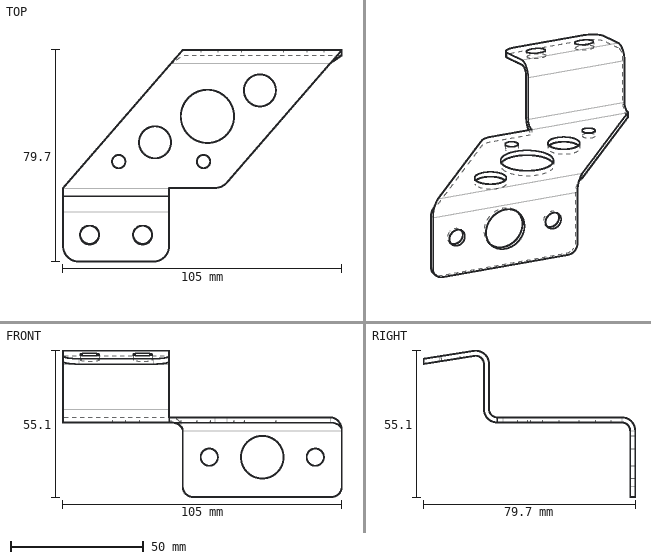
import cadquery as cq
import math

length = 105.0
depth = 79.7
height = 55.1
thickness = 2.0
inner_radius = 3.0
outer_radius = inner_radius + thickness

plate_front = -52.0
plate_rear = -outer_radius
plate_corner_radius = 6.0
plate_holes = [
    (21.0, -42.0, 4.9),
    (52.9, -42.0, 4.9),
    (34.6, -34.8, 12.0),
    (54.4, -25.0, 20.0),
    (74.1, -15.2, 12.0),
]

flange_height = 30.0
flange_width = 60.0
flange_left = length - flange_width
flange_corner_radius = 4.0
flange_hole_diameter = 6.4
flange_center_hole_diameter = 16.0
flange_hole_pitch = 20.0
flange_hole_z = -15.0

bracket_width = 40.0
arm_slope = 9.0
arm_corner_radius = 6.0
arm_hole_diameter = 7.1
arm_hole_pitch = 20.0
arm_hole_y = -69.7

side_run = flange_left / -plate_front


def slanted_side_x(y, offset=0):
    """x of the left slanted side at y; offset moves it along x to the right side."""
    return flange_left + side_run * y + offset


def make_plate():
    outline = [
        (slanted_side_x(plate_front), plate_front),
        (slanted_side_x(plate_front, flange_width), plate_front),
        (slanted_side_x(plate_rear, flange_width), plate_rear),
        (slanted_side_x(plate_rear), plate_rear),
    ]
    plate = cq.Workplane("XY").polyline(outline).close().extrude(-thickness)
    plate = plate.edges("|Z").edges("<Y").edges(">X").fillet(plate_corner_radius)
    for x, y, diameter in plate_holes:
        hole = cq.Workplane("XY").center(x, y).circle(diameter / 2).extrude(-thickness)
        plate = plate.cut(hole)
    return plate


def bend_edge(radius, offset):
    """Side edge of the rear bend: the slanted side continued, with the cut square to the sheet."""
    steps = 8
    points = []
    for step in range(steps + 1):
        angle = math.pi / 2 * step / steps
        x = slanted_side_x(outer_radius * (math.cos(angle) - 1), offset)
        y = radius * math.cos(angle) - outer_radius
        z = radius * math.sin(angle) - outer_radius
        points.append(cq.Vector(x, y, z))
    return cq.Edge.makeSpline(points)


def make_rear_bend():
    outer_left = bend_edge(outer_radius, 0)
    outer_right = bend_edge(outer_radius, flange_width)
    inner_left = bend_edge(inner_radius, 0)
    inner_right = bend_edge(inner_radius, flange_width)
    sides = [
        (outer_left, outer_right),
        (outer_right, inner_right),
        (inner_right, inner_left),
        (inner_left, outer_left),
    ]
    faces = [cq.Face.makeRuledSurface(first, second) for first, second in sides]
    for position in (0, 1):
        corners = [first.positionAt(position) for first, second in sides]
        faces.append(cq.Face.makeFromWires(cq.Wire.makePolygon(corners, close=True)))
    return cq.Workplane(cq.Solid.makeSolid(cq.Shell.makeShell(faces)))


def make_flange():
    flange = (
        cq.Workplane("XY")
        .box(flange_width, thickness, flange_height - outer_radius, centered=False)
        .translate((flange_left, -thickness, -flange_height))
        .edges("|Y").edges("<Z").fillet(flange_corner_radius)
    )
    center_x = flange_left + flange_width / 2
    holes = [
        (-flange_hole_pitch, flange_hole_diameter),
        (0, flange_center_hole_diameter),
        (flange_hole_pitch, flange_hole_diameter),
    ]
    for shift, diameter in holes:
        hole = (
            cq.Workplane("XZ")
            .center(center_x + shift, flange_hole_z)
            .circle(diameter / 2)
            .extrude(thickness)
        )
        flange = flange.cut(hole)
    return flange


def make_bracket():
    top = height - flange_height
    web_front = plate_front - outer_radius
    web_rear = web_front + thickness
    lower_center = (plate_front, outer_radius - thickness)
    upper_center = (web_rear - outer_radius, top - outer_radius)
    slope = math.radians(arm_slope)
    arm_tip = -depth

    def on_bend(center, radius, angle):
        return (center[0] + radius * math.cos(angle), center[1] + radius * math.sin(angle))

    arm_start = math.pi / 2 + slope
    upper_middle = arm_start / 2
    lower_middle = math.radians(225)
    arm_outer = on_bend(upper_center, outer_radius, arm_start)
    arm_inner = on_bend(upper_center, inner_radius, arm_start)

    def tip_z(start):
        return start[1] - (start[0] - arm_tip) * math.tan(slope)

    profile = (
        cq.Workplane("YZ")
        .moveTo(plate_front, 0)
        .threePointArc(on_bend(lower_center, inner_radius, lower_middle), (web_rear, lower_center[1]))
        .lineTo(web_rear, upper_center[1])
        .threePointArc(on_bend(upper_center, outer_radius, upper_middle), arm_outer)
        .lineTo(arm_tip, tip_z(arm_outer))
        .lineTo(arm_tip, tip_z(arm_inner))
        .lineTo(*arm_inner)
        .threePointArc(on_bend(upper_center, inner_radius, upper_middle), (web_front, upper_center[1]))
        .lineTo(web_front, lower_center[1])
        .threePointArc(on_bend(lower_center, outer_radius, lower_middle), (plate_front, -thickness))
        .close()
    )
    bracket = profile.extrude(bracket_width)
    bracket = bracket.edges("|Z").edges("<Y").fillet(arm_corner_radius)

    hole_z = tip_z(arm_outer) + (arm_hole_y - arm_tip) * math.tan(slope)
    normal = cq.Vector(0, -math.sin(slope), math.cos(slope))
    for side in (-1, 1):
        hole_x = bracket_width / 2 + side * arm_hole_pitch / 2
        start = cq.Vector(hole_x, arm_hole_y, hole_z) - normal * (2 * thickness)
        hole = cq.Solid.makeCylinder(arm_hole_diameter / 2, 4 * thickness, start, normal)
        bracket = bracket.cut(cq.Workplane(hole))
    return bracket


result = make_plate().union(make_rear_bend()).union(make_flange()).union(make_bracket())